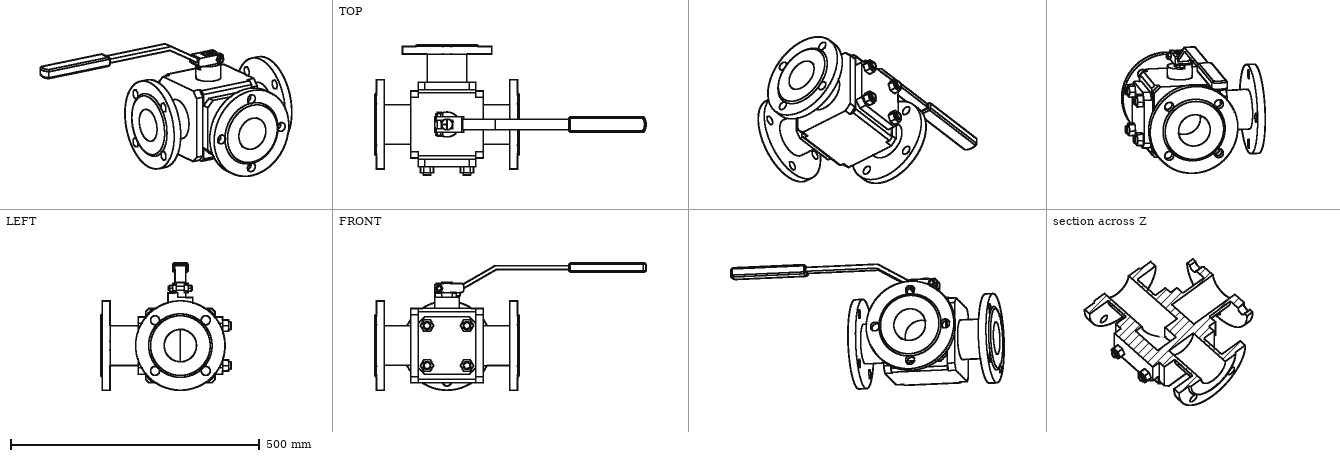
import cadquery as cq
import math


overall_length = 546.0
lever_reach = 400.5
port_x = overall_length - lever_reach
port_y = 160.5

flange_radius = 90.0
flange_thickness = 16.0
face_height = 3.5
face_base_radius = 64.0
face_top_radius = 60.0
flange_hole_diameter = 18.0
flange_hole_circle_radius = 72.0
side_hole_angle = 45
back_hole_angle = 0
pipe_radius = 80.0 / 2
bore_radius = 65.0 / 2
ball_radius = 49.0

body_half_x = 73.0
body_half_z = 75.0
middle_half_x = 58.0
middle_half_y = 70.0
middle_chamfer = 6.5
end_half_y = 67.5
end_chamfer = 12.5

cover_half_width = middle_half_x
cover_outer_y = 85.0
cover_corner_chamfer = 13.0
stud_spacing = 80.0
stud_diameter = 16.0
stud_end_y = -102.5
stud_chamfer = 1.5
nut_across_flats = 23.0
nut_height = 12.0

boss_radius = 25.0
boss_top = 97.0
stop_top = 106.0
stop_face_y = 5.5
stem_radius = 11.0
stem_top = 127.0
mark_width = 1.5
mark_depth = 1.0

head_left = -25.0
head_right = 34.0
head_bottom = 106.5
head_top = 125.0
head_width = 31.5
head_chamfer = 4.0
slot_width = 16.5
slot_right = 12.0
clamp_x = -16.0
clamp_z = 115.0
clamp_diameter = 8.0
clamp_back_y = 24.5
clamp_front_y = -23.5
clamp_nut_flats = 12.0
clamp_nut_outer_y = 22.0
stop_pin_diameter = 8.0
stop_pin_x = 22.5
stop_pin_bottom = 100.0

bar_width = 22.0
bar_thickness = 8.0
bar_top = 161.0
bar_bend_x = 97.0
bar_slope = math.radians(30)
bar_start_x = 27.5
grip_left = 245.0
grip_width = 31.5
grip_thickness = 19.0
grip_end_bulge = 5.5
grip_chamfer = 3.5


def hexagon_diameter(across_flats):
    """Across-corners size of a hexagon."""
    return across_flats / math.cos(math.pi / 6)


def port(reach, first_hole_angle):
    """Pipe, flange and raised face along +Z, from the centre out to the given reach."""
    flange_front = reach - face_height
    flange_back = flange_front - flange_thickness
    profile = [
        (0, 0),
        (pipe_radius, 0),
        (pipe_radius, flange_back),
        (flange_radius, flange_back),
        (flange_radius, flange_front),
        (face_base_radius, flange_front),
        (face_top_radius, reach),
        (0, reach),
    ]
    holes = (
        cq.Workplane("XY")
        .workplane(offset=flange_back)
        .polarArray(flange_hole_circle_radius, first_hole_angle, 360, 4)
        .circle(flange_hole_diameter / 2)
        .extrude(flange_thickness)
    )
    return cq.Workplane("XZ").polyline(profile).close().revolve(360, (0, 0), (0, 1)).cut(holes)


def closed_bore(reach):
    """Blind bore along +Z, from the flange face down to the ball."""
    return cq.Workplane("XY").workplane(offset=ball_radius).circle(bore_radius).extrude(reach - ball_radius)


def toward(shape, axis, angle):
    """Turn a shape about an axis through the origin."""
    return shape.rotate((0, 0, 0), axis, angle)


def make_body():
    middle = (
        cq.Workplane("XY")
        .box(2 * middle_half_x, 2 * middle_half_y, 2 * body_half_z)
        .edges("|X")
        .chamfer(middle_chamfer)
    )
    ends = (
        cq.Workplane("XY")
        .box(2 * body_half_x, 2 * end_half_y, 2 * body_half_z)
        .edges("|X")
        .chamfer(end_chamfer)
    )
    covers = (
        cq.Workplane("XY")
        .box(2 * cover_half_width, 2 * cover_outer_y, 2 * cover_half_width)
        .edges("|Y")
        .chamfer(cover_corner_chamfer)
    )
    return middle.union(ends).union(covers)


def make_studs():
    seats = cq.Workplane("XZ").workplane(offset=cover_outer_y).rarray(stud_spacing, stud_spacing, 2, 2)
    nuts = seats.polygon(6, hexagon_diameter(nut_across_flats)).extrude(nut_height)
    studs = (
        seats.circle(stud_diameter / 2)
        .extrude(-stud_end_y - cover_outer_y)
        .faces("<Y")
        .chamfer(stud_chamfer)
    )
    return nuts.union(studs)


def make_stem():
    base = cq.Workplane("XY").workplane(offset=body_half_z)
    boss = base.circle(boss_radius).extrude(stop_top - body_half_z)
    clearance = (
        cq.Workplane("XY")
        .box(2 * boss_radius, 2 * boss_radius, stop_top - boss_top, centered=(True, False, False))
        .translate((0, stop_face_y - 2 * boss_radius, boss_top))
    )
    stem = base.circle(stem_radius).extrude(stem_top - body_half_z)
    return boss.cut(clearance).union(stem)


def port_mark():
    """T-shaped groove in the top of the stem."""
    plane = cq.Workplane("XY").workplane(offset=stem_top - mark_depth)
    bar = plane.rect(mark_width, 2 * stem_radius).extrude(mark_depth)
    leg = plane.center(-stem_radius / 2, 0).rect(stem_radius, mark_width).extrude(mark_depth)
    return bar.union(leg)


def make_head():
    length = head_right - head_left
    head = (
        cq.Workplane("XY")
        .box(length, head_width, head_top - head_bottom, centered=(False, True, False))
        .translate((head_left, 0, head_bottom))
        .edges("|Y")
        .chamfer(head_chamfer)
    )
    slot = (
        cq.Workplane("XY")
        .box(slot_right - head_left, slot_width, head_top - head_bottom, centered=(False, True, False))
        .translate((head_left, 0, head_bottom))
    )
    clamp = cq.Workplane("XZ", origin=(clamp_x, 0, clamp_z))
    bolt = (
        clamp.workplane(offset=-clamp_back_y)
        .circle(clamp_diameter / 2)
        .extrude(clamp_back_y - clamp_front_y)
    )
    nuts = clamp.polygon(6, hexagon_diameter(clamp_nut_flats)).extrude(clamp_nut_outer_y, both=True)
    head_gap = clamp.circle(clamp_nut_flats).extrude(head_width / 2, both=True)
    stop_pin = (
        cq.Workplane("XY", origin=(stop_pin_x, 0, stop_pin_bottom))
        .circle(stop_pin_diameter / 2)
        .extrude(head_bottom - stop_pin_bottom)
    )
    return head.cut(slot).union(bolt).union(nuts.cut(head_gap)).union(stop_pin)


def make_bar():
    bend_shift = bar_thickness * math.tan(bar_slope / 2)
    bar_bottom = bar_top - bar_thickness
    lower_bend_x = bar_bend_x + bend_shift
    top_start = bar_top - (bar_bend_x - bar_start_x) * math.tan(bar_slope)
    bottom_start = bar_bottom - (lower_bend_x - bar_start_x) * math.tan(bar_slope)
    outline = [
        (bar_start_x, bottom_start),
        (lower_bend_x, bar_bottom),
        (grip_left + grip_chamfer, bar_bottom),
        (grip_left + grip_chamfer, bar_top),
        (bar_bend_x, bar_top),
        (bar_start_x, top_start),
    ]
    return cq.Workplane("XZ").polyline(outline).close().extrude(bar_width / 2, both=True)


def make_grip():
    half = grip_width / 2
    corner_x = lever_reach - grip_end_bulge
    return (
        cq.Workplane("XY", origin=(0, 0, bar_top - bar_thickness / 2))
        .moveTo(grip_left, -half)
        .lineTo(corner_x, -half)
        .threePointArc((lever_reach, 0), (corner_x, half))
        .lineTo(grip_left, half)
        .close()
        .extrude(grip_thickness / 2, both=True)
        .edges("<X or >Z or <Z")
        .chamfer(grip_chamfer)
    )


def open_passage():
    """Bore from the -X flange into the ball, where it turns toward -Y."""
    inlet = cq.Workplane("YZ").circle(bore_radius).extrude(-port_x)
    turn = cq.Workplane("XZ").circle(bore_radius).extrude(ball_radius)
    return inlet.union(turn)


left = toward(port(port_x, side_hole_angle), (0, 1, 0), -90)
right = toward(port(port_x, side_hole_angle), (0, 1, 0), 90)
back = toward(port(port_y, back_hole_angle), (1, 0, 0), -90)

result = make_body().union(left).union(right).union(back)
result = result.cut(open_passage())
result = result.cut(toward(closed_bore(port_x), (0, 1, 0), 90))
result = result.cut(toward(closed_bore(port_y), (1, 0, 0), -90))
result = result.union(make_studs())
result = result.union(make_stem())
result = result.union(make_head()).union(make_bar()).union(make_grip())
result = result.cut(port_mark())